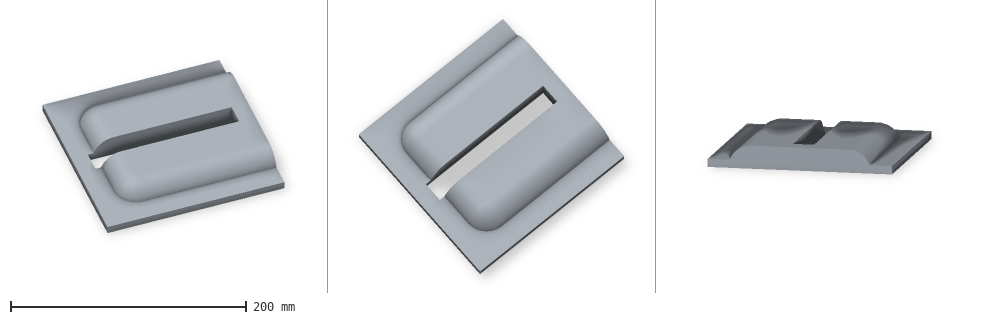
import cadquery as cq

plate_side = 160
plate_thickness = 7.0
overall_height = 20.0

pad_width = 124.0
pad_front_gap = 18.9
corner_radius = 21.5
top_rounding = 19.7

slot_width = 18.4
slot_length = 130.0


def make_plate():
    return cq.Workplane("XY").box(plate_side, plate_side, plate_thickness, centered=(True, True, False))


def make_pad():
    """Block with rounded front corners and rounded top edges, cut off flat at the back."""
    pad_length = plate_side - pad_front_gap
    block = (
        cq.Workplane("XY")
        .center(0, pad_front_gap / 2)
        .box(pad_width, pad_length, overall_height, centered=(True, True, False))
    )
    rounded_corners = block.edges("|Z and <Y").fillet(corner_radius)
    return rounded_corners.faces(">Z").edges("not >Y").fillet(top_rounding)


def make_slot():
    return cq.Workplane("XY").box(slot_width, slot_length, overall_height, centered=(True, True, False))


result = make_plate().union(make_pad()).cut(make_slot())